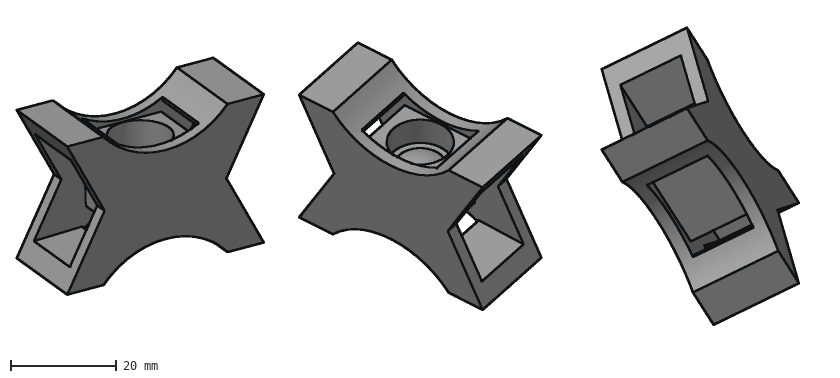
import cadquery as cq
import math

body_width = 18.6
body_length = 43.75
body_height = 31.35
waist_length = 27.1
saddle_width = 27.55
saddle_floor_height = 9.4

wall = 2.7
draft_angle = 2.0
window_width = body_width - 2 * wall
window_top = 11.0
window_bottom = -11.5
opening_length = 17.95

block_length = 17.3
block_top = 8.75
block_bottom = -7.0

socket_diameter = 12.75
socket_depth = 5.95
dome_diameter = 9.8
dome_height = 1.2


def make_body():
    end = body_length / 2
    top = body_height / 2
    waist = waist_length / 2
    saddle = saddle_width / 2
    return (
        cq.Workplane("YZ")
        .moveTo(-end, top)
        .lineTo(-saddle, top)
        .threePointArc((0, saddle_floor_height), (saddle, top))
        .lineTo(end, top)
        .lineTo(waist, 0)
        .lineTo(end, -top)
        .lineTo(saddle, -top)
        .threePointArc((0, -saddle_floor_height), (-saddle, -top))
        .lineTo(-end, -top)
        .lineTo(-waist, 0)
        .close()
        .extrude(body_width / 2, both=True)
    )


def fill_between_walls(points):
    """Extrude a YZ outline across the gap between the side walls."""
    return cq.Workplane("YZ").polyline(points).close().extrude(window_width / 2, both=True)


def make_end_window():
    """Passage along Y whose floor rises gently from each mouth to the middle."""
    end = body_length / 2
    half_height = body_height / 2
    mouth = end - (end - waist_length / 2) * (half_height + window_bottom) / half_height
    slope = math.tan(math.radians(draft_angle))
    outer_floor = window_bottom - (end - mouth) * slope
    middle_floor = window_bottom + mouth * slope
    return fill_between_walls(
        [(-end, outer_floor), (0, middle_floor), (end, outer_floor), (end, window_top), (-end, window_top)]
    )


def make_saddle_opening():
    """Straight vertical passage joining the two saddles."""
    return cq.Workplane("XY").box(window_width, opening_length, body_height)


def make_block():
    floor = block_top - socket_depth
    socket = cq.Workplane("XY", origin=(0, 0, floor)).circle(socket_diameter / 2).extrude(socket_depth)
    dome = (
        cq.Workplane("XZ")
        .moveTo(0, floor)
        .lineTo(dome_diameter / 2, floor)
        .threePointArc(dome_shoulder(floor), (0, floor + dome_height))
        .close()
        .revolve(360, (0, 0, 0), (0, 1, 0))
    )
    half_top = block_length / 2
    half_bottom = half_top - (block_top - block_bottom) * math.tan(math.radians(draft_angle))
    block = fill_between_walls(
        [
            (-half_bottom, block_bottom),
            (half_bottom, block_bottom),
            (half_top, block_top),
            (-half_top, block_top),
        ]
    )
    return block.cut(socket).union(dome)


def dome_shoulder(floor):
    """Point on the dome's profile halfway between its rim and its axis."""
    rim = dome_diameter / 2
    radius = (rim**2 + dome_height**2) / (2 * dome_height)
    x = rim / 2
    return x, floor + dome_height - radius + (radius**2 - x**2) ** 0.5


result = make_body().cut(make_end_window()).cut(make_saddle_opening()).union(make_block())